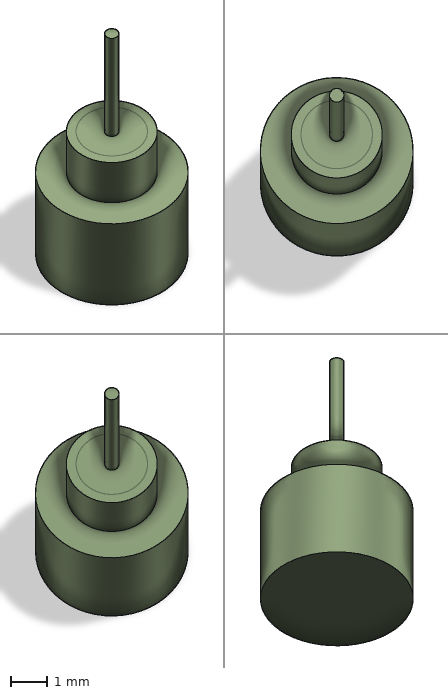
import cadquery as cq

total_height = 8.25
body_diameter = 4.2
body_height = 3.05

neck_diameter = 2.5
neck_top = 4.56
insert_diameter = 1.96

pin_diameter = 0.4


def cylinder(diameter, bottom, top):
    """Upright cylinder on the Z axis between two heights."""
    return cq.Workplane("XY").workplane(offset=bottom).circle(diameter / 2).extrude(top - bottom)


body = cylinder(body_diameter, 0, body_height)
insert = cylinder(insert_diameter, body_height, neck_top)
neck_sleeve = cylinder(neck_diameter, body_height, neck_top).cut(insert)
pin = cylinder(pin_diameter, neck_top, total_height)

result = body.union(neck_sleeve, clean=False).union(insert, clean=False).union(pin, clean=False)